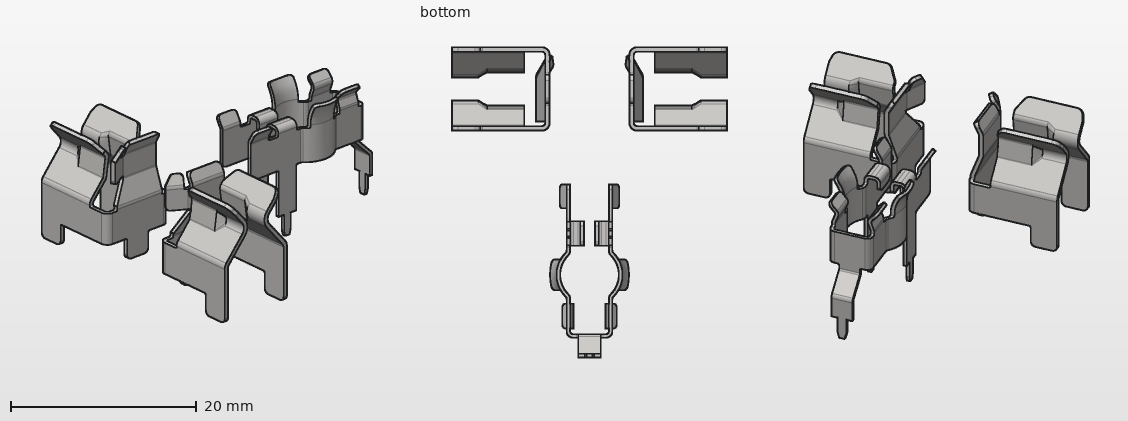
import cadquery as cq
import math

FULL_WIDTH = 29.6
FULL_LENGTH = 33.42
FLOOR = 2.55
INNER_ROUND = 0.2

CLIP_SHEET = 0.5
CLIP_DEPTH = 9.0
CLIP_BEND = 0.35
CLIP_WALL_TOP = 6.25
CLIP_FOLD_START = 6.5
CLIP_LEG_WIDTH = 3.07
CLIP_LEG_ROUND = 0.6
END_WALL_OUTER_X = -4.28

FLANGE_RIGHT_X = -7.02
FLANGE_LEAN = 40.0
FLANGE_BEND = 0.5
THROAT_BEND = 1.0
FLANGE_SLOPE_RUN = 3.58
FLARE_TIP = 3.6
FLARE_BASE = 1.67
FLARE_ROUND = 0.85
FLARE_INBOARD_EDGE = 0.2
FLARE_OUTBOARD_EDGE = 0.7
FLARE_INBOARD_TAPER = 1.0
FLARE_OUTBOARD_TAPER = 0.4
PANEL_LEFT_X = -11.03
THROAT_RIGHT_X = -11.95
PANEL_SETBACK = 1.8
PANEL_TURN = 32.0
PANEL_LOWER_BEND = 0.1
PANEL_UPPER_BEND = 0.3

BLADE_LEAN = 20.0
BLADE_LOWER_BEND = 0.5
BLADE_LEAN_RUN = 2.65
BLADE_FLARE_ANGLE = 28.0
BLADE_FLARE_START = 12.05
BLADE_FLARE_RUN = 1.27
BLADE_FRONT_Y = 3.25
BLADE_BACK_Y = 8.02
BLADE_FLARE_ROUND = 0.67
BLADE_BACK_ROUND = 0.1
BLADE_FOOT_Y = 1.55
BLADE_TAPER = (6.75, 9.22)
NOTCH_FLOOR = 11.93
NOTCH_WIDTH = 0.25
TAB_TURN = 30.0
TAB_RUN = 2.4
TAB_BOTTOM = 9.52
TAB_FLARE_START = 0.37
TAB_FLARE_TAPER = 0.77
TAB_ROUND = 0.5

CONTACT_SHEET = 0.4
CONTACT_BEND = 0.3
CONTACT_HALF_WIDTH = 2.47
CONTACT_FRONT_Y = 14.77
CONTACT_BACK_Y = 31.28
CONTACT_BOTTOM = 8.02
CONTACT_TOP = 12.05
TONGUE_BASE = 12.45
TONGUE_ROUND = 0.5
BARREL_Y = 24.5
BARREL_RADIUS = 3.35
BARREL_NECK_BEND = 0.35
BARREL_ANGLE = 45.0
HOLDER_Y = (27.6, 30.28)
BARREL_FLARE_Y = (22.83, 26.17)
HOOK_Y = (18.7, 21.4)
LEAD_IN_Y = (CONTACT_FRONT_Y, 17.35)
SIDE_LEG_Y = (18.78, 21.32)
BARREL_FLARE_RADIUS = 4.15
BARREL_FLARE_ANGLE = 34.0
BARREL_FLARE_EXTRA = 0.67
HOLDER_LEAN = 20.0
HOLDER_LEAN_RUN = 0.87
HOLDER_FLARE_ANGLE = 42.0
HOLDER_FLARE_RUN = 1.15
LEAD_IN_ANGLE = 30.0
LEAD_IN_RUN = 1.4
HOOK_TOP_RUN = 0.5
HOOK_END_RUN = 1.05
REAR_LEG_WIDTH = 2.45
REAR_LEG_DROP = 0.55
REAR_LEG_LEAN = 45.0
FOOT_WIDTH = 1.0
FOOT_TIP_WIDTH = 0.65
FOOT_TAPER = 0.75


def tan_deg(angle):
    return math.tan(math.radians(angle))


def sin_deg(angle):
    return math.sin(math.radians(angle))


def cos_deg(angle):
    return math.cos(math.radians(angle))


def heading_vector(heading):
    return cos_deg(heading), sin_deg(heading)


def along(point, heading, distance):
    dx, dy = heading_vector(heading)
    return point[0] + dx * distance, point[1] + dy * distance


def trace_strip(start, heading, moves, sheet):
    """Follow a bent strip; `sheet` is signed, positive with the material left of the traced face.

    A move is ("run", length) or ("bend", angle, inner radius); positive angles turn left.
    Returns the traced face and the other face as lists of (mid, end), mid None for straight
    stretches, then the other face's start, the end point and the end heading.
    """
    face, other, point = [], [], start
    other_start = along(start, heading + 90, sheet)
    for move in moves:
        if move[0] == "run":
            point = along(point, heading, move[1])
            face.append((None, point))
            other.append((None, along(point, heading + 90, sheet)))
            continue
        turn, radius = move[1], move[2]
        side = math.copysign(1, turn)
        face_radius = radius + max(0, sheet * side)
        other_radius = face_radius - sheet * side
        centre = along(point, heading + 90 * side, face_radius)
        ends = [heading + turn * share - 90 * side for share in (0.5, 1)]
        face.append(tuple(along(centre, angle, face_radius) for angle in ends))
        other.append(tuple(along(centre, angle, other_radius) for angle in ends))
        heading += turn
        point = face[-1][1]
    return face, other, other_start, point, heading


def draw_to(wire, mid, end):
    return wire.lineTo(*end) if mid is None else wire.threePointArc(mid, end)


def strip_outline(plane, start, heading, moves, sheet):
    """Closed section of a bent strip."""
    face, other, other_start, _, _ = trace_strip(start, heading, moves, sheet)
    wire = cq.Workplane(plane).moveTo(*start)
    for mid, end in face:
        wire = draw_to(wire, mid, end)
    wire = wire.lineTo(*other[-1][1])
    back_ends = [other_start] + [end for _, end in other[:-1]]
    for (mid, _), end in zip(reversed(other), reversed(back_ends)):
        wire = draw_to(wire, mid, end)
    return wire.close()


def strip_end(start, heading, moves, sheet):
    """End point and heading of the traced face."""
    return trace_strip(start, heading, moves, sheet)[3:]


def rounded_outline(plane, corners):
    """Closed outline through (u, v, corner radius) corners."""
    wire = None
    for i, (u, v, radius) in enumerate(corners):
        before, after = corners[i - 1], corners[(i + 1) % len(corners)]
        to_before = math.degrees(math.atan2(before[1] - v, before[0] - u))
        to_after = math.degrees(math.atan2(after[1] - v, after[0] - u))
        half = abs((to_after - to_before + 180) % 360 - 180) / 2
        setback = radius / tan_deg(half)
        first = along((u, v), to_before, setback)
        wire = cq.Workplane(plane).moveTo(*first) if wire is None else wire.lineTo(*first)
        if radius:
            bisector = to_before + ((to_after - to_before + 180) % 360 - 180) / 2
            reach = radius / sin_deg(half) - radius
            wire = wire.threePointArc(along((u, v), bisector, reach), along((u, v), to_after, setback))
    return wire.close()


def flare_plane(section_plane, point, heading):
    """Plane on a strip's traced face: x along the strip's width, y along its heading."""
    dx, dy = heading_vector(heading)
    normal = section_plane.xDir * -dy + section_plane.yDir * dx
    return cq.Plane(section_plane.toWorldCoords(point), section_plane.zDir, normal)


def section_plane_across_y(y):
    """Plane facing -Y, with x along X and y along Z."""
    return cq.Plane((0, y, 0), (1, 0, 0), (0, -1, 0))



CLIP_LEFT_X = -FULL_WIDTH / 2
CLIP_MIDDLE_Y = CLIP_DEPTH / 2
CLIP_OUTER_BEND = CLIP_BEND + CLIP_SHEET
END_WALL_INNER_X = END_WALL_OUTER_X - CLIP_SHEET


def clip_base():
    """Two side walls with a leg each, joined by the lower part of the end wall."""
    side_run = END_WALL_OUTER_X - CLIP_OUTER_BEND - CLIP_LEFT_X
    corner = ("bend", 90, CLIP_BEND)
    moves = [("run", side_run), corner, ("run", CLIP_DEPTH - 2 * CLIP_OUTER_BEND), corner, ("run", side_run)]
    plan = strip_outline("XY", (CLIP_LEFT_X, 0), 0, moves, CLIP_SHEET).extrude(CLIP_FOLD_START)
    leg_right = CLIP_LEFT_X + CLIP_LEG_WIDTH
    side = rounded_outline("XZ", [
        (CLIP_LEFT_X, 0, CLIP_LEG_ROUND),
        (leg_right, 0, CLIP_LEG_ROUND),
        (leg_right, FLOOR, INNER_ROUND),
        (END_WALL_OUTER_X, FLOOR, 0),
        (END_WALL_OUTER_X, CLIP_WALL_TOP, 0),
        (FLANGE_RIGHT_X, CLIP_WALL_TOP, INNER_ROUND),
        (FLANGE_RIGHT_X, CLIP_FOLD_START, 0),
        (CLIP_LEFT_X, CLIP_FOLD_START, 0),
    ]).extrude(-CLIP_DEPTH)
    return plan.intersect(side)


def front_flange():
    """Flange that leans in to the throat and flares out again, its inboard part pressed back."""
    section = cq.Plane.YZ()
    start = (0, CLIP_FOLD_START)
    foot = [("bend", -FLANGE_LEAN, FLANGE_BEND)]
    throat_setback = THROAT_BEND * tan_deg(FLANGE_LEAN)
    slope_to_crossing = FLANGE_SLOPE_RUN + throat_setback

    throat = foot + [
        ("run", FLANGE_SLOPE_RUN),
        ("bend", FLANGE_LEAN / 2, THROAT_BEND),
        ("bend", FLANGE_LEAN, THROAT_BEND),
        ("bend", FLANGE_LEAN / 2, THROAT_BEND),
        ("run", FLARE_BASE - throat_setback),
    ]

    upper_turn = 2 * FLANGE_LEAN - PANEL_TURN
    panel_length = PANEL_SETBACK * sin_deg(2 * FLANGE_LEAN) / sin_deg(upper_turn)
    flare_setback = PANEL_SETBACK * sin_deg(PANEL_TURN) / sin_deg(upper_turn)
    lower_trim = PANEL_LOWER_BEND * tan_deg(PANEL_TURN / 2)
    upper_trim = PANEL_UPPER_BEND * tan_deg(upper_turn / 2)
    panel = foot + [
        ("run", slope_to_crossing - PANEL_SETBACK - lower_trim),
        ("bend", PANEL_TURN, PANEL_LOWER_BEND),
        ("run", panel_length - lower_trim - upper_trim),
        ("bend", upper_turn, PANEL_UPPER_BEND),
        ("run", FLARE_BASE - flare_setback - upper_trim),
    ]

    def section_at(x, moves):
        plane = cq.Plane((x, 0, 0), section.xDir, section.zDir)
        return strip_outline(plane, start, 90, moves, -CLIP_SHEET)

    outboard = section_at(CLIP_LEFT_X, throat).extrude(THROAT_RIGHT_X - CLIP_LEFT_X)
    inboard = section_at(PANEL_LEFT_X, panel).extrude(FLANGE_RIGHT_X - PANEL_LEFT_X)
    ends = [section_at(THROAT_RIGHT_X, throat).wire().val(), section_at(PANEL_LEFT_X, panel).wire().val()]
    transition = cq.Workplane(cq.Solid.makeLoft(ends, True))

    end, heading = strip_end(start, 90, throat, -CLIP_SHEET)
    tip = FLARE_TIP - FLARE_BASE
    flare = rounded_outline(flare_plane(section, end, heading), [
        (CLIP_LEFT_X, 0, 0),
        (FLANGE_RIGHT_X, 0, 0),
        (FLANGE_RIGHT_X, FLARE_INBOARD_EDGE, 0),
        (FLANGE_RIGHT_X - FLARE_INBOARD_TAPER, tip, FLARE_ROUND),
        (CLIP_LEFT_X + FLARE_OUTBOARD_TAPER, tip, FLARE_ROUND),
        (CLIP_LEFT_X, FLARE_OUTBOARD_EDGE, 0),
    ]).extrude(-CLIP_SHEET)
    return outboard.union(transition).union(inboard).union(flare)


def spring_blade():
    """End wall strip, from its leg up to the flare above the blade, and the X of the blade's face."""
    section = section_plane_across_y(0)
    start = (END_WALL_INNER_X, 0)
    lower = [
        ("run", CLIP_FOLD_START),
        ("bend", BLADE_LEAN, BLADE_LOWER_BEND),
        ("run", BLADE_LEAN_RUN),
        ("bend", -BLADE_LEAN, CLIP_BEND),
    ]
    blade_foot = strip_end(start, 90, lower, -CLIP_SHEET)[0]
    moves = lower + [
        ("run", BLADE_FLARE_START - blade_foot[1]),
        ("bend", -BLADE_FLARE_ANGLE, CLIP_BEND),
        ("run", BLADE_FLARE_RUN),
    ]
    strip = strip_outline(section, start, 90, moves, -CLIP_SHEET).extrude(-CLIP_DEPTH)
    top = strip.val().BoundingBox().zmax
    leg_front = CLIP_MIDDLE_Y - CLIP_LEG_WIDTH / 2
    leg_back = CLIP_MIDDLE_Y + CLIP_LEG_WIDTH / 2
    flare_front = BLADE_FRONT_Y + NOTCH_WIDTH
    taper_bottom, taper_top = BLADE_TAPER
    outline = rounded_outline("YZ", [
        (leg_front, 0, CLIP_LEG_ROUND),
        (leg_back, 0, CLIP_LEG_ROUND),
        (leg_back, FLOOR, INNER_ROUND),
        (CLIP_DEPTH - CLIP_OUTER_BEND, FLOOR, 0),
        (CLIP_DEPTH - CLIP_OUTER_BEND, CLIP_WALL_TOP, 0),
        (BLADE_BACK_Y, CLIP_WALL_TOP, BLADE_BACK_ROUND),
        (BLADE_BACK_Y, top, BLADE_FLARE_ROUND),
        (flare_front, top, BLADE_FLARE_ROUND),
        (flare_front, NOTCH_FLOOR, INNER_ROUND),
        (BLADE_FRONT_Y, NOTCH_FLOOR, 0),
        (BLADE_FRONT_Y, taper_top, 0),
        (BLADE_FOOT_Y, taper_bottom, 0),
        (BLADE_FOOT_Y, CLIP_WALL_TOP, INNER_ROUND),
        (CLIP_OUTER_BEND, CLIP_WALL_TOP, 0),
        (CLIP_OUTER_BEND, FLOOR, 0),
        (leg_front, FLOOR, INNER_ROUND),
    ]).extrude(CLIP_LEFT_X)
    return strip.intersect(outline), blade_foot[0]


def side_tab(blade_x):
    """Tab bent from the front edge of the blade, with its own flare on top."""
    bend_start = (blade_x, BLADE_FRONT_Y)
    moves = [("bend", TAB_TURN, CLIP_BEND), ("run", TAB_RUN)]
    tab = strip_outline(cq.Plane((0, 0, TAB_BOTTOM)), bend_start, 270, moves, CLIP_SHEET)
    tab = tab.extrude(NOTCH_FLOOR - TAB_BOTTOM)
    root, heading = strip_end(bend_start, 270, moves[:1], CLIP_SHEET)
    end_face = cq.NearestToPointSelector(along(root, heading, TAB_RUN) + ((TAB_BOTTOM + NOTCH_FLOOR) / 2,))
    tab = tab.faces(end_face).edges("<Z").fillet(TAB_ROUND)

    dx, dy = heading_vector(heading)
    flare_root = along(root, heading, TAB_FLARE_START)
    section = cq.Plane(flare_root + (NOTCH_FLOOR,), (-dy, dx, 0), (dx, dy, 0))
    bend = [("run", BLADE_FLARE_START - NOTCH_FLOOR), ("bend", -BLADE_FLARE_ANGLE, CLIP_BEND)]
    width = TAB_RUN - TAB_FLARE_START
    bent = strip_outline(section, (0, 0), 90, bend, -CLIP_SHEET).extrude(width)
    end, flare_heading = strip_end((0, 0), 90, bend, -CLIP_SHEET)
    flare = rounded_outline(flare_plane(section, end, flare_heading), [
        (0, 0, 0),
        (width, 0, 0),
        (width - TAB_FLARE_TAPER, BLADE_FLARE_RUN, TAB_ROUND),
        (0, BLADE_FLARE_RUN, TAB_ROUND),
    ]).extrude(-CLIP_SHEET)
    return tab.union(bent).union(flare)


def end_clip():
    flange = front_flange()
    back_flange = flange.mirror("XZ", (0, CLIP_MIDDLE_Y, 0))
    blade, blade_x = spring_blade()
    return clip_base().union(flange).union(back_flange).union(blade).union(side_tab(blade_x))



CONTACT_OUTER_BEND = CONTACT_BEND + CONTACT_SHEET
HALF_BACK = CONTACT_HALF_WIDTH - CONTACT_OUTER_BEND
BARREL_SPAN = (BARREL_RADIUS + BARREL_NECK_BEND) * sin_deg(BARREL_ANGLE)


def contact_wall():
    """Wall bent in plan to a U with a barrel, with tongue roots and a leg on each side."""
    half_wall = [
        ("run", BARREL_Y - BARREL_SPAN - CONTACT_FRONT_Y),
        ("bend", BARREL_ANGLE, BARREL_NECK_BEND),
        ("bend", -2 * BARREL_ANGLE, BARREL_RADIUS - CONTACT_SHEET),
        ("bend", BARREL_ANGLE, BARREL_NECK_BEND),
        ("run", CONTACT_BACK_Y - CONTACT_OUTER_BEND - BARREL_Y - BARREL_SPAN),
        ("bend", -90, CONTACT_BEND),
        ("run", HALF_BACK),
    ]
    start = (-CONTACT_HALF_WIDTH, CONTACT_FRONT_Y)
    moves = half_wall + half_wall[::-1]
    wall = strip_outline("XY", start, 90, moves, -CONTACT_SHEET).extrude(TONGUE_BASE)

    leg_front, leg_back = SIDE_LEG_Y
    outline = [
        (CONTACT_FRONT_Y, CONTACT_BOTTOM, TONGUE_ROUND),
        (leg_front, CONTACT_BOTTOM, INNER_ROUND),
        (leg_front, FLOOR, 0),
    ] + foot_corners((leg_front + leg_back) / 2) + [
        (leg_back, FLOOR, 0),
        (leg_back, CONTACT_BOTTOM, INNER_ROUND),
        (CONTACT_BACK_Y, CONTACT_BOTTOM, 0),
        (CONTACT_BACK_Y, CONTACT_TOP, 0),
    ]
    for front, back in (HOLDER_Y, BARREL_FLARE_Y, HOOK_Y):
        outline += [
            (back, CONTACT_TOP, INNER_ROUND),
            (back, TONGUE_BASE, 0),
            (front, TONGUE_BASE, 0),
            (front, CONTACT_TOP, INNER_ROUND),
        ]
    lead_in_front, lead_in_back = LEAD_IN_Y
    outline += [
        (lead_in_back, CONTACT_TOP, INNER_ROUND),
        (lead_in_back, TONGUE_BASE, 0),
        (lead_in_front, TONGUE_BASE, 0),
    ]
    return wall.intersect(rounded_outline("YZ", outline).extrude(FULL_WIDTH, both=True))


def foot_corners(middle):
    """Tapered solder foot below a leg."""
    half, tip = FOOT_WIDTH / 2, FOOT_TIP_WIDTH / 2
    return [
        (middle - half, FLOOR, 0),
        (middle - half, FOOT_TAPER, 0),
        (middle - tip, 0, 0),
        (middle + tip, 0, 0),
        (middle + half, FOOT_TAPER, 0),
        (middle + half, FLOOR, 0),
    ]


def tongue(span, moves):
    """Strip that continues a left tongue root, with rounded tip corners."""
    section = section_plane_across_y(span[1])
    start = (-CONTACT_HALF_WIDTH, TONGUE_BASE)
    strip = strip_outline(section, start, 90, moves, -CONTACT_SHEET).extrude(span[1] - span[0])
    end, heading = strip_end(start, 90, moves, -CONTACT_SHEET)
    tip_x, tip_z = along(end, heading - 90, CONTACT_SHEET / 2)
    tip = strip.faces(cq.NearestToPointSelector((tip_x, sum(span) / 2, tip_z)))
    dx, dz = heading_vector(heading)
    return tip.edges(cq.ParallelDirSelector(cq.Vector(-dz, 0, dx))).fillet(TONGUE_ROUND)


def holder_tongue():
    return tongue(HOLDER_Y, [
        ("bend", -HOLDER_LEAN, CONTACT_BEND),
        ("run", HOLDER_LEAN_RUN),
        ("bend", HOLDER_LEAN + HOLDER_FLARE_ANGLE, CONTACT_BEND),
        ("run", HOLDER_FLARE_RUN),
    ])


def lead_in_tongue():
    return tongue(LEAD_IN_Y, [("bend", LEAD_IN_ANGLE, CONTACT_BEND), ("run", LEAD_IN_RUN)])


def hook_tongue():
    return tongue(HOOK_Y, [
        ("bend", -90, CONTACT_BEND),
        ("run", HOOK_TOP_RUN),
        ("bend", -90, CONTACT_BEND),
        ("run", HOOK_END_RUN),
    ])


def barrel_flare():
    """Curved flare of the barrel: a body of revolution trimmed square to its own slope."""
    section = section_plane_across_y(BARREL_Y)
    bulge = (BARREL_RADIUS + BARREL_NECK_BEND) * (1 - cos_deg(BARREL_ANGLE))
    outer_x = -CONTACT_HALF_WIDTH - bulge
    axis_x = outer_x + BARREL_RADIUS
    start = (outer_x, TONGUE_BASE)
    bend = [("bend", BARREL_FLARE_ANGLE, BARREL_FLARE_RADIUS)]
    profile = strip_outline(section, start, 90, bend + [("run", BARREL_FLARE_EXTRA)], -CONTACT_SHEET)
    ring = profile.revolve(360, (axis_x, 0), (axis_x, 1))
    tip, heading = strip_end(start, 90, bend, -CONTACT_SHEET)
    front, back = (BARREL_Y - y for y in BARREL_FLARE_Y)
    trim = rounded_outline(flare_plane(section, tip, heading), [
        (back, -BARREL_RADIUS, 0),
        (front, -BARREL_RADIUS, 0),
        (front, 0, TONGUE_ROUND),
        (back, 0, TONGUE_ROUND),
    ]).extrude(BARREL_RADIUS, both=True)
    return ring.intersect(trim)


def rear_leg():
    """Flat of the back wall with the leg below it, offset backward by two bends."""
    offset = FULL_LENGTH - CONTACT_BACK_Y
    bends_offset = (CONTACT_BEND + CONTACT_OUTER_BEND) * (1 - cos_deg(REAR_LEG_LEAN))
    moves = [
        ("run", CONTACT_TOP - CONTACT_BOTTOM + REAR_LEG_DROP),
        ("bend", REAR_LEG_LEAN, CONTACT_BEND),
        ("run", (offset - bends_offset) / sin_deg(REAR_LEG_LEAN)),
        ("bend", -REAR_LEG_LEAN, CONTACT_BEND),
    ]
    section = cq.Plane((-HALF_BACK, 0, 0), (0, 1, 0), (1, 0, 0))
    start = (CONTACT_BACK_Y - CONTACT_SHEET, CONTACT_TOP)
    end = strip_end(start, 270, moves, CONTACT_SHEET)[0]
    strip = strip_outline(section, start, 270, moves + [("run", end[1])], CONTACT_SHEET)
    half = REAR_LEG_WIDTH / 2
    outline = rounded_outline("XZ", [
        (HALF_BACK, CONTACT_BOTTOM, 0),
        (HALF_BACK, CONTACT_TOP, 0),
        (-HALF_BACK, CONTACT_TOP, 0),
        (-HALF_BACK, CONTACT_BOTTOM, 0),
        (-half, CONTACT_BOTTOM, INNER_ROUND),
        (-half, FLOOR, 0),
    ] + foot_corners(0) + [
        (half, FLOOR, 0),
        (half, CONTACT_BOTTOM, INNER_ROUND),
    ]).extrude(-FULL_LENGTH)
    return strip.extrude(2 * HALF_BACK).intersect(outline)


def contact_clip():
    clip = contact_wall().union(rear_leg())
    for piece in (holder_tongue(), lead_in_tongue(), hook_tongue(), barrel_flare()):
        clip = clip.union(piece).union(piece.mirror("YZ"))
    return clip


left_clip = end_clip()
right_clip = left_clip.mirror("YZ")
contact = contact_clip()
result = cq.Compound.makeCompound([left_clip.val(), right_clip.val(), contact.val()])